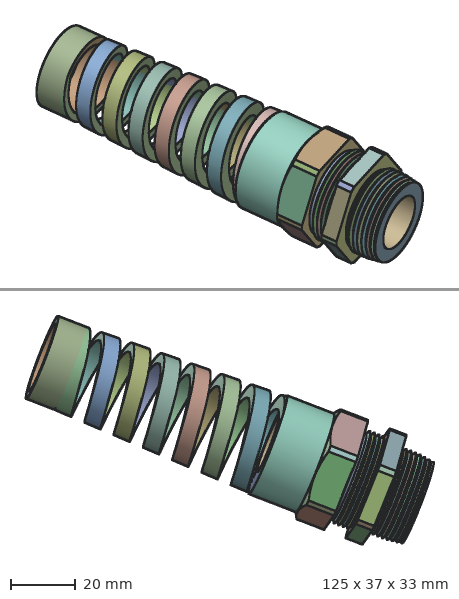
import cadquery as cq
import math

length = 125.0
collar_end = 9.2
sleeve_start = 75.1
sleeve_end = 90.7
nut_end = 101.1
flange_start = 108.3
flange_end = 113.8

collar_radius = 13.7
spring_root_radius = 16.0
tube_inner_radius = 11.2
gap_pitch = 9.9
gap_width = 4.5
gap_first_center = 5.2
gap_turns = 8

bore_radius = 9.0
sleeve_radius = 16.4
across_flats = 33.0
corner_radius = 18.5
nut_chamfer_length = 1.2

rear_root_radius = 14.2
rear_crest_radius = 15.4
rear_first_crest = 103.1
rear_pitch = 1.5
rear_crest_count = 4

front_root_radius = 13.1
front_crest_radius = 14.2
front_first_crest = 115.6
front_crest_count = 7
front_pitch = (length - front_first_crest) / (front_crest_count - 1)
front_taper_start = 120.0
tip_crest_radius = 13.5
runout_crest = 114.5

overlap = 1.2


def revolved(points):
    """Revolve an (x, radius) outline about the X axis."""
    outline = cq.Workplane("XY").polyline(points).close()
    return outline.revolve(360, (0, 0, 0), (1, 0, 0))


def cylinder(start, end, radius):
    return cq.Workplane("YZ").workplane(offset=start).circle(radius).extrude(end - start)


def hexagon(start, end):
    """Hexagonal prism with flats facing +Z and -Z and its corners turned to a cylinder."""
    prism = (
        cq.Workplane("YZ")
        .workplane(offset=start)
        .polygon(6, across_flats / math.cos(math.pi / 6))
        .extrude(end - start)
    )
    return prism.intersect(cylinder(start, end, corner_radius))


def ring_thread(start, end, root_radius, crests, ridge_width):
    """Core cylinder with a V-shaped ring at each (x, radius) crest."""
    thread = cylinder(start, end, root_radius)
    core_radius = root_radius - overlap
    for crest_x, crest_radius in crests:
        left = crest_x - ridge_width / 2
        right = crest_x + ridge_width / 2
        ring = revolved([
            (left, core_radius),
            (left, root_radius),
            (crest_x, crest_radius),
            (right, root_radius),
            (right, core_radius),
        ])
        thread = thread.union(ring)
    return thread.intersect(cylinder(start, end, corner_radius))


def front_crest_height(x):
    """Crest radius, tapering towards the tip of the thread."""
    taper = max(0.0, (x - front_taper_start) / (length - front_taper_start))
    return front_crest_radius - taper * (front_crest_radius - tip_crest_radius)


tube = revolved([
    (0, 0),
    (0, collar_radius),
    (collar_end, collar_radius),
    (sleeve_start, spring_root_radius),
    (sleeve_start, 0),
]).cut(cylinder(0, sleeve_start, tube_inner_radius))

gap_inner_radius = tube_inner_radius - overlap
gap_outer_radius = spring_root_radius + overlap
gap_middle_radius = (gap_inner_radius + gap_outer_radius) / 2
helix = cq.Workplane(cq.Wire.makeHelix(gap_pitch, gap_turns * gap_pitch, gap_middle_radius))
gap = (
    cq.Workplane("XZ")
    .center(gap_middle_radius, 0)
    .rect(gap_outer_radius - gap_inner_radius, gap_width)
    .sweep(helix, isFrenet=True)
    .rotate((0, 0, 0), (0, 1, 0), 90)
    .translate((gap_first_center, 0, 0))
    .intersect(cylinder(collar_end, sleeve_start, corner_radius))
)
spring = tube.cut(gap)

sleeve = cylinder(sleeve_start, sleeve_end, sleeve_radius)
nut_envelope = revolved([
    (sleeve_end, 0),
    (sleeve_end, sleeve_radius),
    (sleeve_end + nut_chamfer_length, corner_radius),
    (nut_end, corner_radius),
    (nut_end, 0),
])
nut = hexagon(sleeve_end, nut_end).intersect(nut_envelope)

rear_crests = [
    (rear_first_crest + i * rear_pitch, rear_crest_radius) for i in range(rear_crest_count)
]
rear_thread = ring_thread(nut_end, flange_start, rear_root_radius, rear_crests, rear_pitch)

front_crest_places = [front_first_crest + i * front_pitch for i in range(front_crest_count)]
front_crests = [(runout_crest, tip_crest_radius)]
front_crests += [(x, front_crest_height(x)) for x in front_crest_places]
front_thread = ring_thread(flange_end, length, front_root_radius, front_crests, front_pitch)

flange = hexagon(flange_start, flange_end)

body = sleeve.union(nut).union(rear_thread).union(flange).union(front_thread)
body = body.cut(cylinder(sleeve_start, length, bore_radius))

result = body.union(spring)